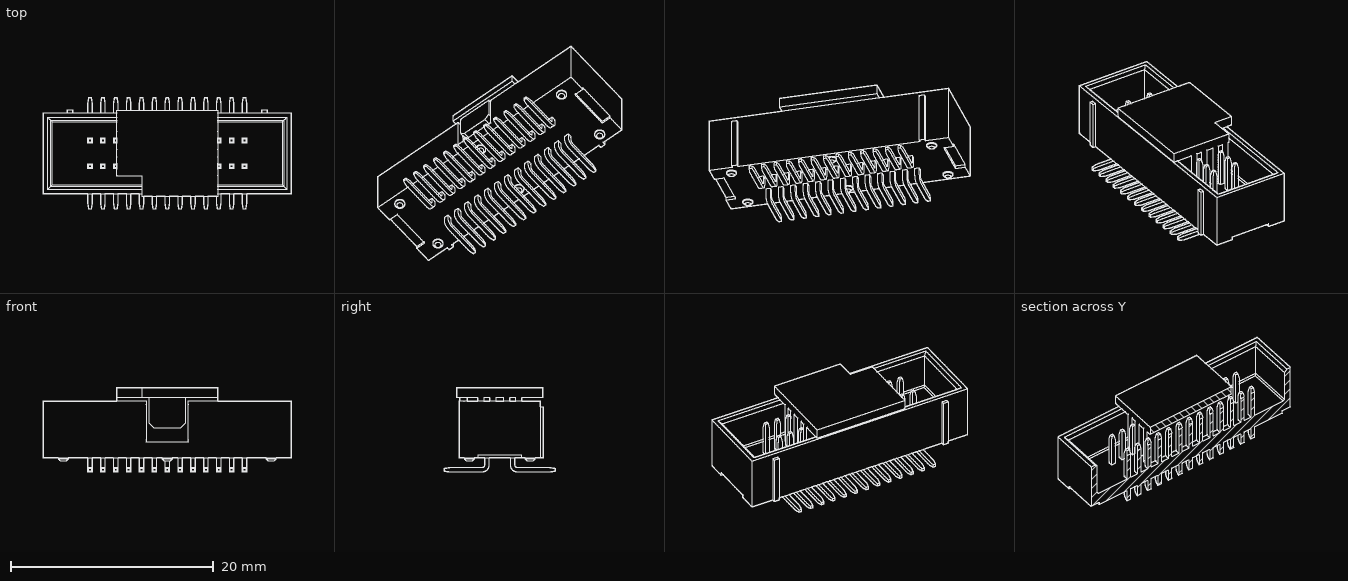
import cadquery as cq


housing_length = 24.51
housing_width = 8.0
housing_bottom = 1.4
housing_top = 7.0
rim_width = 0.45
mouth_chamfer = 0.3
wall_thickness = rim_width + mouth_chamfer
floor_chamfer = 0.15
floor_level = 3.0

window_width = 4.1

key_rib_offset = 9.6
key_rib_width = 0.55
key_rib_depth = 0.3
key_rib_top = 6.45

recess_width = 4.3
recess_height = 0.3
recess_depth = 1.0

peg_diameter = 1.0
peg_height = 0.3
peg_chamfer = 0.2
peg_offset_x = 10.25
peg_offset_y = 3.0

pins_per_row = 13
pin_pitch = 1.27
row_offset = 1.27
pin_size = 0.46
pin_tip_size = 0.28
pin_tip_length = 0.55
pin_top = 6.65
lead_reach = 5.5
bend_inner_radius = 0.25
bend_outer_radius = bend_inner_radius + pin_size

cap_length = 10.0
cap_width = 8.5
cap_top = 8.35
cap_thickness = 1.0
cap_bottom = cap_top - cap_thickness
corner_cut_length = 2.5
corner_cut_width = 2.0
cap_rib_thickness = 0.65
cap_rib_gap = 0.52
cap_rib_end = floor_level
tongue_width = 3.6
tongue_thickness = 0.75
tongue_outer_face = -3.95
tongue_end = 4.35
tongue_chamfer = 0.5


def box(length, width, bottom, top, x=0, y=0):
    """Block centred on (x, y) and spanning bottom to top in Z."""
    block = cq.Workplane("XY", origin=(x, y, bottom))
    return block.rect(length, width).extrude(top - bottom)


def make_cavity():
    length = housing_length - 2 * wall_thickness
    width = housing_width - 2 * wall_thickness
    cavity = box(length, width, floor_level, housing_top)
    cavity = cavity.faces("<Z").chamfer(floor_chamfer)
    mouth = (
        cq.Workplane("XY", origin=(0, 0, housing_top - mouth_chamfer))
        .rect(length, width)
        .workplane(offset=mouth_chamfer)
        .rect(length + 2 * mouth_chamfer, width + 2 * mouth_chamfer)
        .loft(ruled=True)
    )
    return cavity.union(mouth)


def make_peg(x, y):
    peg = cq.Workplane("XY", origin=(x, y, housing_bottom - peg_height))
    return peg.circle(peg_diameter / 2).extrude(peg_height).faces("<Z").chamfer(peg_chamfer)


def make_housing():
    housing = box(housing_length, housing_width, housing_bottom, housing_top)
    housing = housing.cut(make_cavity())

    window_depth = wall_thickness + floor_chamfer
    window_y = (window_depth - housing_width) / 2
    housing = housing.cut(box(window_width, window_depth, floor_level, housing_top, y=window_y))

    key_rib_y = (housing_width + key_rib_depth) / 2
    for side in (-1, 1):
        key_rib = box(
            key_rib_width, key_rib_depth, housing_bottom, key_rib_top, side * key_rib_offset, key_rib_y
        )
        recess_x = side * (housing_length - recess_depth) / 2
        recess_top = housing_bottom + recess_height
        recess = box(recess_depth, recess_width, housing_bottom, recess_top, recess_x)
        housing = housing.union(key_rib).cut(recess)

    for x in (-peg_offset_x, 0, peg_offset_x):
        for y in (-peg_offset_y, peg_offset_y):
            housing = housing.union(make_peg(x, y))
    return housing


def make_tip(plane):
    """Square taper that points along the normal of the plane."""
    return (
        cq.Workplane(plane)
        .rect(pin_size, pin_size)
        .workplane(offset=pin_tip_length)
        .rect(pin_tip_size, pin_tip_size)
        .loft(ruled=True)
    )


def make_pin():
    """Gull-wing pin at X = 0 in the -Y row, with its lead running towards -Y."""
    inner_y = -row_offset + pin_size / 2
    outer_y = -row_offset - pin_size / 2
    bend_y = inner_y - bend_outer_radius
    lead_end = -lead_reach + pin_tip_length
    stem_top = pin_top - pin_tip_length
    profile = (
        cq.Workplane("YZ", origin=(-pin_size / 2, 0, 0))
        .moveTo(lead_end, 0)
        .lineTo(bend_y, 0)
        .radiusArc((inner_y, bend_outer_radius), -bend_outer_radius)
        .lineTo(inner_y, stem_top)
        .lineTo(outer_y, stem_top)
        .lineTo(outer_y, bend_outer_radius)
        .radiusArc((bend_y, pin_size), bend_inner_radius)
        .lineTo(lead_end, pin_size)
        .close()
    )
    contact_tip = make_tip(cq.Plane((0, -row_offset, stem_top), (1, 0, 0), (0, 0, 1)))
    lead_tip = make_tip(cq.Plane((0, lead_end, pin_size / 2), (1, 0, 0), (0, -1, 0)))
    return profile.extrude(pin_size).union(contact_tip).union(lead_tip)


def make_header():
    """Housing with its moulded-in pins, as one solid."""
    header = make_housing()
    front_pin = make_pin()
    rear_pin = front_pin.mirror("XZ")
    for index in range(pins_per_row):
        x = (index - (pins_per_row - 1) / 2) * pin_pitch
        header = header.union(front_pin.translate((x, 0, 0)))
        header = header.union(rear_pin.translate((x, 0, 0)))
    return header


def make_cap():
    cap = box(cap_length, cap_width, cap_bottom, cap_top)
    corner_x = (corner_cut_length - cap_length) / 2
    corner_y = (corner_cut_width - cap_width) / 2
    cap = cap.cut(box(corner_cut_length, corner_cut_width, cap_bottom, cap_top, corner_x, corner_y))

    rib_shift = (cap_rib_gap + cap_rib_thickness) / 2
    for row_y in (-row_offset, row_offset):
        for shift in (-rib_shift, rib_shift):
            cap = cap.union(box(cap_length, cap_rib_thickness, cap_rib_end, cap_bottom, y=row_y + shift))

    tongue_y = tongue_outer_face + tongue_thickness / 2
    tongue = box(tongue_width, tongue_thickness, tongue_end, cap_bottom, y=tongue_y)
    tongue = tongue.faces("<Z").edges("|Y").chamfer(tongue_chamfer)
    return cap.union(tongue)


header = make_header().solids()
cap = make_cap().solids()

result = cq.Compound.makeCompound([header.val(), cap.val()])